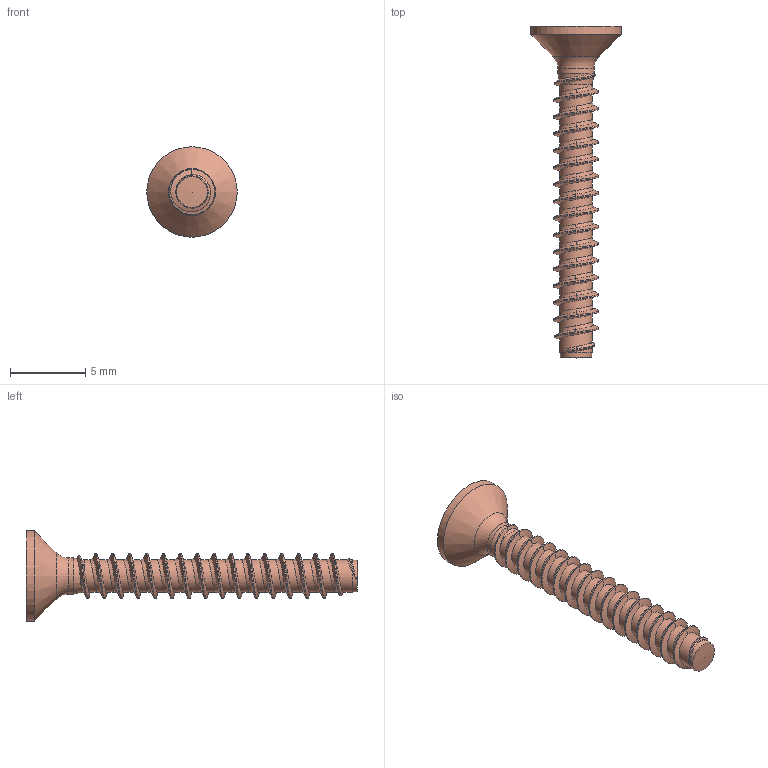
import math

import cadquery as cq

LENGTH = 22.0

HEAD_RADIUS = 3.0
RIM_THICKNESS = 0.54
CONE_ANGLE = math.radians(45)

NECK_RADIUS = 1.2
NECK_FILLET = 1.2
NECK_END_DEPTH = 3.14
CORE_RADIUS = 1.068
CORE_START_DEPTH = 3.85

TIP_RADIUS = 1.03
TIP_TAPER = 0.33
TIP_CONE_HEIGHT = 0.05

PITCH = 1.12
CREST_RADIUS = 1.5
CREST_WIDTH = 0.08
FLANK_BREAK_RADIUS = 1.13
HEAD_SIDE_FOOT = 0.57
HEAD_SIDE_FLANK = 0.2
TIP_SIDE_FLANK = 0.15
FOOT_RADIUS = CORE_RADIUS - 0.03
ROOT_RADIUS = 0.75
FULL_TURNS = 16
FIRST_JOINT_DEPTH = 3.51
RUN_IN_TURNS = 1.2
RUN_IN_END = FIRST_JOINT_DEPTH + PITCH / 2
RUN_IN_START = RUN_IN_END - RUN_IN_TURNS * PITCH
RUN_IN_DROP = 0.36
RUN_OUT_START = FIRST_JOINT_DEPTH + (FULL_TURNS - 1) * PITCH
RUN_OUT_END = 21.75
RUN_OUT_DROP = 0.46
POINTS_PER_TURN = 16


def make_body():
    """Head, filleted neck, core and blunt conical tip as one turned solid."""
    fillet_rise = NECK_FILLET * (1 - math.cos(CONE_ANGLE))
    cone_end_radius = NECK_RADIUS + fillet_rise
    cone_end_depth = RIM_THICKNESS + (HEAD_RADIUS - cone_end_radius) / math.tan(CONE_ANGLE)
    fillet_end_depth = cone_end_depth + NECK_FILLET * math.sin(CONE_ANGLE)
    fillet_mid_radius = NECK_RADIUS + NECK_FILLET * (1 - math.cos(CONE_ANGLE / 2))
    fillet_mid_depth = fillet_end_depth - NECK_FILLET * math.sin(CONE_ANGLE / 2)
    end_face_depth = LENGTH - TIP_CONE_HEIGHT
    outline = (
        cq.Workplane("XY")
        .lineTo(HEAD_RADIUS, 0)
        .lineTo(HEAD_RADIUS, -RIM_THICKNESS)
        .lineTo(cone_end_radius, -cone_end_depth)
        .threePointArc((fillet_mid_radius, -fillet_mid_depth), (NECK_RADIUS, -fillet_end_depth))
        .lineTo(NECK_RADIUS, -NECK_END_DEPTH)
        .lineTo(CORE_RADIUS, -CORE_START_DEPTH)
        .lineTo(CORE_RADIUS, -(end_face_depth - TIP_TAPER))
        .lineTo(TIP_RADIUS, -end_face_depth)
        .lineTo(0, -LENGTH)
        .close()
    )
    return outline.revolve(360, (0, 0, 0), (0, 1, 0))


def crest_drop(depth):
    """How far the crest is lowered: the thread rises at its start and fades out at its end."""
    run_in = RUN_IN_DROP * max(0, (RUN_IN_END - depth) / (RUN_IN_END - RUN_IN_START))
    run_out = RUN_OUT_DROP * max(0, (depth - RUN_OUT_START) / (RUN_OUT_END - RUN_OUT_START))
    return run_in + run_out


def helix_edge(start_depth, end_depth, axial_offset, radius):
    """Right-handed helical curve traced by one corner of the thread profile."""
    height_share = max(0, (radius - FOOT_RADIUS) / (CREST_RADIUS - FOOT_RADIUS))
    steps = math.ceil((end_depth - start_depth) / PITCH * POINTS_PER_TURN)
    points = []
    for step in range(steps + 1):
        depth = start_depth + (end_depth - start_depth) * step / steps
        angle_from_z = 2 * math.pi * (depth - FIRST_JOINT_DEPTH) / PITCH
        local_radius = radius - height_share * crest_drop(depth)
        x = -local_radius * math.sin(angle_from_z)
        z = local_radius * math.cos(angle_from_z)
        points.append(cq.Vector(x, -(depth + axial_offset), z))
    return cq.Edge.makeSpline(points)


def make_thread_piece(start_depth, end_depth):
    """Solid ridge of ruled bands between the corner helices, closed by a flat face at each end."""
    profile = [
        (-HEAD_SIDE_FOOT, ROOT_RADIUS),
        (-HEAD_SIDE_FOOT, FOOT_RADIUS),
        (-HEAD_SIDE_FLANK, FLANK_BREAK_RADIUS),
        (-CREST_WIDTH / 2, CREST_RADIUS),
        (CREST_WIDTH / 2, CREST_RADIUS),
        (TIP_SIDE_FLANK, FOOT_RADIUS),
        (TIP_SIDE_FLANK, ROOT_RADIUS),
    ]
    edges = [helix_edge(start_depth, end_depth, offset, radius) for offset, radius in profile]
    faces = []
    for index, edge in enumerate(edges):
        faces.append(cq.Face.makeRuledSurface(edges[index - 1], edge))
    start_corners = [edge.startPoint() for edge in edges]
    end_corners = [edge.endPoint() for edge in edges]
    for corners in (start_corners, end_corners):
        faces.append(cq.Face.makeFromWires(cq.Wire.makePolygon(corners, close=True)))
    return cq.Solid.makeSolid(cq.Shell.makeShell(faces))


def make_thread():
    """Thread pieces: the run-in, one piece for each turn, and the last part of the run-out."""
    joints = [FIRST_JOINT_DEPTH + turn * PITCH for turn in range(FULL_TURNS + 1)]
    bounds = [RUN_IN_START] + joints + [RUN_OUT_END]
    return [make_thread_piece(start, end) for start, end in zip(bounds, bounds[1:])]


body = make_body().val()
screw = body.fuse(*make_thread())
result = cq.Workplane(screw.Solids()[0])